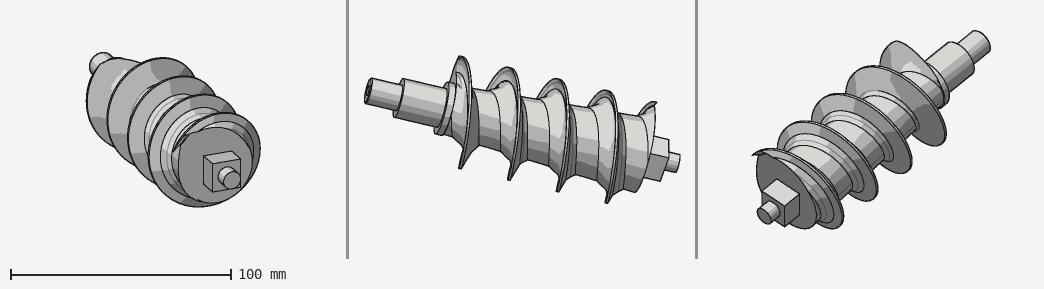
import cadquery as cq
import math

journal_start = 14.6
collar_start = 34.9
screw_start = 38.0
screw_end = 130.2
square_end = 140.3
total_length = 146.5

pin_radius = 6.0
journal_radius = 9.1
collar_radius = 12.2
square_side = 13.9
tail_radius = 4.2
edge_chamfer = 0.5

hole_radius = 2.3
hole_depth = 7.3

turns = 4
screw_length = screw_end - screw_start
pitch = screw_length / turns
crest_radius = 24.98
core_start_radius = 11.5
core_end_radius = 17.3
crest_width = 1.2
crest_start = 39.7
foot_radius = 10.3
foot_reach = 6.6
trim_radius = 29.3
helix_height = (turns + 2) * pitch


def cylinder(start, end, radius):
    return cq.Workplane("YZ", origin=(start, 0, 0)).circle(radius).extrude(end - start)


def make_shaft():
    pin = cylinder(0, journal_start, pin_radius).faces("<X").chamfer(edge_chamfer)
    journal = cylinder(journal_start, collar_start, journal_radius)
    collar = cylinder(collar_start, screw_start, collar_radius)
    square = (
        cq.Workplane("YZ", origin=(screw_end, 0, 0))
        .rect(square_side, square_side)
        .extrude(square_end - screw_end)
    )
    tail = cylinder(square_end, total_length, tail_radius)
    return pin.union(journal).union(collar).union(square).union(tail)


def make_core():
    return (
        cq.Workplane("XY")
        .moveTo(screw_start, 0)
        .lineTo(screw_start, core_start_radius)
        .lineTo(screw_end, core_end_radius)
        .lineTo(screw_end, 0)
        .close()
        .revolve(360, (0, 0, 0), (1, 0, 0))
    )


def sweep_thread(section, path):
    """Sweep a section along a helix, carry it to the X axis and trim it to the screw."""
    flight = section.sweep(path, isFrenet=True)
    placement = cq.Plane(
        origin=(crest_start - pitch, 0, 0), xDir=(0, -1, 0), normal=(1, 0, 0)
    )
    placed = cq.Workplane(flight.val().moved(cq.Location(placement)))
    return placed.intersect(cylinder(screw_start, screw_end, trim_radius))


def radial_points(profile, offset=0):
    """Turn (axial, radius) pairs into sketch points, shifted radially by an offset."""
    return [(radius + offset, axial) for axial, radius in profile]


def make_flight():
    """Thin flight with hollow flanks and a constant outer radius."""
    rear_flank = [(2.5, 21.0), (4.0, 16.5), (6.0, 13.5), (9.5, foot_radius)]
    front_flank = [(-0.9, 14.0), (0.6, 16.4), (1.3, 18.8), (0.9, 23.3)]
    section = (
        cq.Workplane("XZ")
        .moveTo(crest_radius, 0)
        .lineTo(crest_radius, crest_width)
        .spline(radial_points(rear_flank), includeCurrent=True)
        .lineTo(foot_radius, -foot_reach)
        .spline(radial_points(front_flank), includeCurrent=True)
        .close()
    )
    path = cq.Wire.makeHelix(pitch, helix_height, crest_radius)
    return sweep_thread(section, path)


def make_root_fillet():
    """Concave foot of the flight, which climbs outward with the tapered core."""
    rear_foot = [(2.2, 16.5), (5.3, 13.5), (9.5, foot_radius)]
    front_foot = [(-3.7, 12.6), (-0.9, 14.0), (0.6, 16.4), (1.0, 17.6)]
    rise_per_turn = (core_end_radius - core_start_radius) / turns
    section = (
        cq.Workplane("XZ")
        .polyline(radial_points(rear_foot, -rise_per_turn))
        .lineTo(foot_radius - rise_per_turn, -foot_reach)
        .spline(radial_points(front_foot, -rise_per_turn), includeCurrent=True)
        .close()
    )
    taper_angle = math.degrees(math.atan2(rise_per_turn, pitch))
    path = cq.Wire.makeHelix(pitch, helix_height, core_start_radius - rise_per_turn, angle=taper_angle)
    return sweep_thread(section, path)


def make_centre_hole():
    """Drilled hole ending in a right-angled cone."""
    return (
        cq.Workplane("XY")
        .lineTo(0, hole_radius)
        .lineTo(hole_depth, hole_radius)
        .lineTo(hole_depth + hole_radius, 0)
        .close()
        .revolve(360, (0, 0, 0), (1, 0, 0))
    )


screw = make_core().union(make_flight()).union(make_root_fillet())
result = make_shaft().union(screw).cut(make_centre_hole())